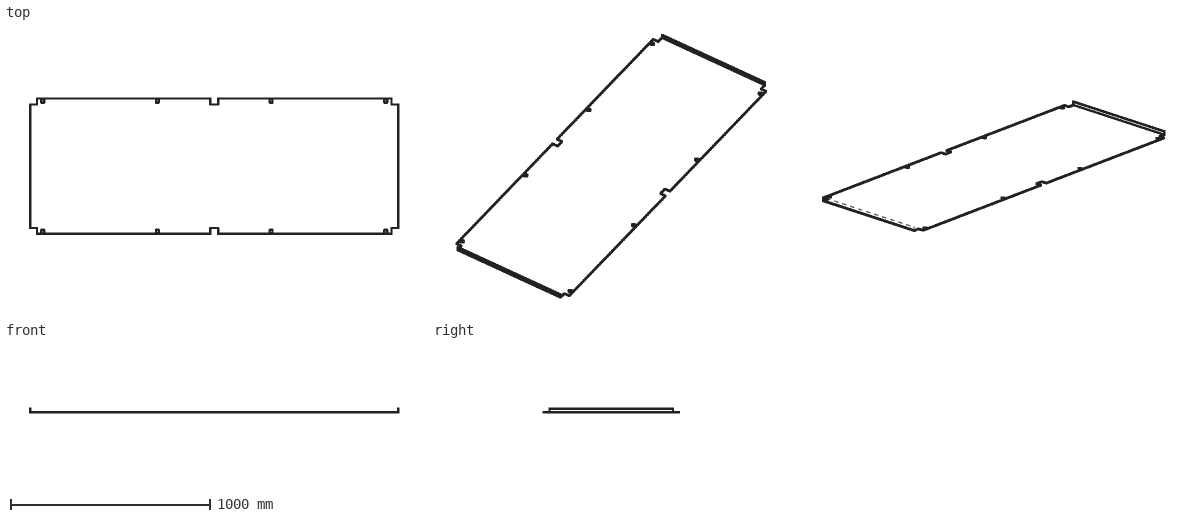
import cadquery as cq

length = 1850.0
width = 680.0
flange_height = 20.0
sheet_thickness = 2.5

outer_bend_radius = sheet_thickness

corner_notch_length = 35.0
middle_notch_length = 40.0
notch_depth = 30.0

slot_length = 21.0
slot_width = 14.0
slot_edge_distance = 12.0
inner_slot_x = 285.0
outer_slot_x = 860.0

SIDES = (-1, 1)


def make_tray():
    """Flat sheet with its lower face on Z = 0 and full-width end flanges turned up."""
    half_length = length / 2
    inner_half_length = half_length - sheet_thickness
    profile = (
        cq.Workplane("XZ")
        .moveTo(-half_length, flange_height)
        .lineTo(-half_length, outer_bend_radius)
        .radiusArc((-half_length + outer_bend_radius, 0), -outer_bend_radius)
        .lineTo(half_length - outer_bend_radius, 0)
        .radiusArc((half_length, outer_bend_radius), -outer_bend_radius)
        .lineTo(half_length, flange_height)
        .lineTo(inner_half_length, flange_height)
        .lineTo(inner_half_length, sheet_thickness)
        .lineTo(-inner_half_length, sheet_thickness)
        .lineTo(-inner_half_length, flange_height)
        .close()
    )
    return profile.extrude(width / 2, both=True)


def make_notches(notch_length, centres_x):
    """Cutters for notches in both long edges, through the sheet and flanges."""
    notch_y = (width - notch_depth) / 2
    points = [(x, side * notch_y) for x in centres_x for side in SIDES]
    return (
        cq.Workplane("XY")
        .pushPoints(points)
        .rect(notch_length, notch_depth)
        .extrude(flange_height)
    )


def make_slots():
    """Cutters for the four slots along each long edge."""
    slot_y = width / 2 - slot_edge_distance
    points = [
        (side_x * slot_x, side_y * slot_y)
        for slot_x in (inner_slot_x, outer_slot_x)
        for side_x in SIDES
        for side_y in SIDES
    ]
    return (
        cq.Workplane("XY")
        .pushPoints(points)
        .slot2D(slot_length, slot_width, 90)
        .extrude(sheet_thickness)
    )


corner_x = (length - corner_notch_length) / 2

result = (
    make_tray()
    .cut(make_notches(corner_notch_length, (-corner_x, corner_x)))
    .cut(make_notches(middle_notch_length, (0,)))
    .cut(make_slots())
)